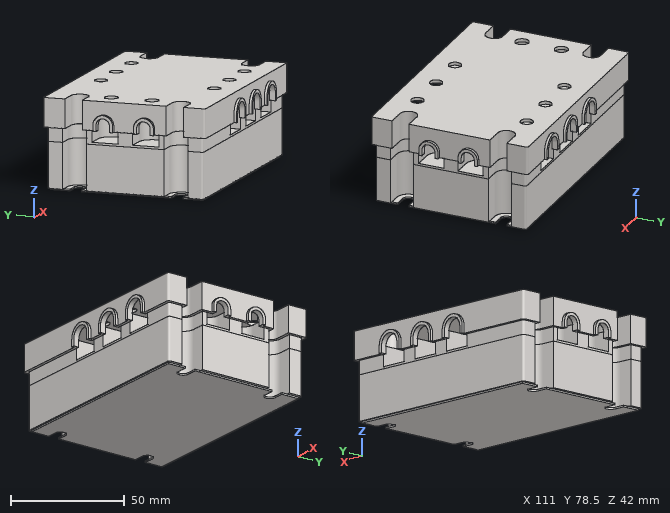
import cadquery as cq

overall_length = 111.0
overall_width = 78.5
overall_height = 42.0

cover_length = 108.0
cover_width = 76.0
block_length = 105.0
block_width = 73.0
foot_length = 101.9
foot_width = 71.5
corner_radius = 1.0

foot_top = 0.8
base_top = 22.0
pocket_floor = 23.0
cover_bottom = 28.5
block_top = 32.5

cover_wall = (cover_length - block_length) / 2
cavity_top = overall_height - cover_wall

slot_center_x = 45.7
slot_center_y = 23.8
cover_slot_width = 8.2
block_slot_width = cover_slot_width + 2 * cover_wall
foot_slot_width = 5.4

side_opening_places = [-10.0, 10.0, 30.0]
side_arch_radius = 6.3
side_arch_center_z = 32.0
side_pocket_width = 13.1

end_opening_places = [-9.5, 9.5]
end_arch_radius = 4.7
end_arch_center_z = 31.3
end_pocket_width = 12.2

side_hole_y = 26.5
side_hole_diameter = 5.8
end_hole_x = -44.1
end_hole_diameter = 6.2

end_pocket_depth = block_length / 2 + end_hole_x + end_pocket_width / 2
side_pocket_depth = end_pocket_depth


def slab(length, width, bottom, top):
    """Plain box centred on the Z axis, between two heights."""
    box = cq.Workplane("XY").rect(length, width).extrude(top - bottom)
    return box.translate((0, 0, bottom))


def mounting_slots(slot_width, bottom, top):
    """Four round-ended slots that run out past both ends of the part."""
    end_x = overall_length / 2
    straight_length = end_x - slot_center_x
    slots = cq.Workplane("XY")
    for side in (-1, 1):
        for y in (-slot_center_y, slot_center_y):
            round_end = cq.Workplane("XY").center(side * slot_center_x, y).circle(slot_width / 2)
            straight = cq.Workplane("XY").center(side * (slot_center_x + straight_length / 2), y)
            straight = straight.rect(straight_length, slot_width).extrude(top - bottom)
            slot = round_end.extrude(top - bottom).union(straight)
            slots = slots.add(slot.translate((0, 0, bottom)))
    return slots.combine()


def slotted_slab(length, width, slot_width, bottom, top):
    """Round-cornered slab with the four mounting slots cut through it."""
    body = slab(length, width, bottom, top).edges("|Z").fillet(corner_radius)
    return body.cut(mounting_slots(slot_width, bottom, top))


def arch_bar(radius, center_z, length, from_end):
    """Arch-topped bar, centred on the part, along X if from_end, else along Y."""
    bar = (
        cq.Workplane("XZ")
        .moveTo(-radius, cover_bottom)
        .lineTo(radius, cover_bottom)
        .lineTo(radius, center_z)
        .threePointArc((0, center_z + radius), (-radius, center_z))
        .close()
        .extrude(length / 2, both=True)
    )
    if from_end:
        bar = bar.rotate((0, 0, 0), (0, 0, 1), 90)
    return bar


def arch_bars(inset):
    """Bars for all wire openings, reduced by the inset from the collar outline."""
    bars = []
    for x in side_opening_places:
        bar = arch_bar(side_arch_radius - inset, side_arch_center_z, overall_width, False)
        bars.append(bar.translate((x, 0, 0)))
    for y in end_opening_places:
        bar = arch_bar(end_arch_radius - inset, end_arch_center_z, overall_length, True)
        bars.append(bar.translate((0, y, 0)))
    return bars


def make_base():
    """Solid base standing on a thinner foot whose narrower slots leave ledges."""
    body = slotted_slab(block_length, block_width, block_slot_width, foot_top, base_top)
    foot = slab(foot_length, foot_width, 0, foot_top)
    foot = foot.cut(mounting_slots(foot_slot_width, 0, foot_top))
    return body.union(foot)


def side_pocket(x, side):
    """Square-ended terminal pocket, open to a long side and to the block top."""
    pocket = slab(side_pocket_width, side_pocket_depth, pocket_floor, block_top)
    return pocket.translate((x, side * (block_width - side_pocket_depth) / 2, 0))


def end_pocket(y, side):
    """Round-ended terminal pocket, open to an end and to the block top."""
    radius = end_pocket_width / 2
    straight_length = end_pocket_depth - radius
    center_x = side * (block_length / 2 - straight_length)
    round_end = cq.Workplane("XY").circle(radius).extrude(block_top - pocket_floor)
    round_end = round_end.translate((center_x, y, pocket_floor))
    straight = slab(straight_length, end_pocket_width, pocket_floor, block_top)
    return round_end.union(straight.translate((center_x + side * straight_length / 2, y, 0)))


def make_terminal_block():
    """Block on top of the base, with a terminal pocket behind each wire opening."""
    block = slotted_slab(block_length, block_width, block_slot_width, base_top, block_top)
    for side in (-1, 1):
        for x in side_opening_places:
            block = block.cut(side_pocket(x, side))
        for y in end_opening_places:
            block = block.cut(end_pocket(y, side))
    return block


def access_hole(x, y, diameter):
    """Round plug that pierces the top wall of the cover."""
    hole = cq.Workplane("XY").center(x, y).circle(diameter / 2).extrude(cover_wall)
    return hole.translate((0, 0, cavity_top))


def make_cover():
    """Cap over the block, with collared wire openings and screw access holes."""
    cover = slotted_slab(cover_length, cover_width, cover_slot_width, cover_bottom, overall_height)
    for collar in arch_bars(0):
        cover = cover.union(collar)
    for opening in arch_bars(cover_wall):
        cover = cover.cut(opening)
    cover = cover.cut(slotted_slab(block_length, block_width, block_slot_width, cover_bottom, cavity_top))
    for x in side_opening_places:
        for y in (-side_hole_y, side_hole_y):
            cover = cover.cut(access_hole(x, y, side_hole_diameter))
    for y in end_opening_places:
        cover = cover.cut(access_hole(end_hole_x, y, end_hole_diameter))
    return cover


base = make_base()
terminal_block = make_terminal_block()
cover = make_cover()

result = cq.Compound.makeCompound([base.val(), terminal_block.val(), cover.val()])